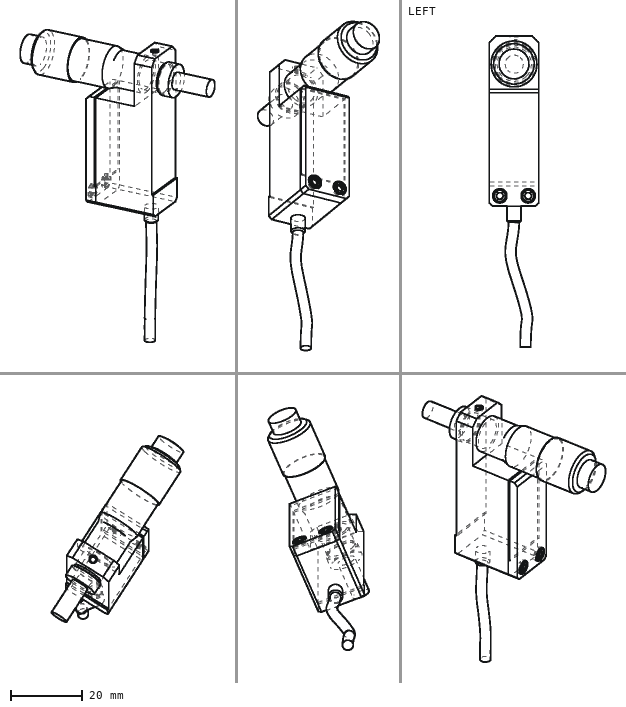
import cadquery as cq
import math


width = 14.0
neck_top = 47.9
shoulder_height = 32.9
neck_front = 15.5
neck_back = 21.1
foot_back = 21.6
foot_height = 6.9
top_chamfer = 1.9
bottom_chamfer = 1.0

plate_thickness = 2.6
spacer_thickness = 0.5
spacer_height = 5.8
plate_chamfer = 1.0
housing_front = plate_thickness + spacer_thickness

screw_spacing = 8.0
screw_height = 2.9
counterbore_radius = 2.0
head_radius = 1.6
screw_gap_depth = 0.9
screw_socket_flats = 1.8
screw_socket_depth = 0.7

clamp_radius = 1.1
clamp_recess_depth = 0.3
clamp_socket_flats = 1.6
clamp_socket_depth = 0.7

axis_height = 40.0
knob_tip = -23.2
knob_dome = 0.6
knob_radius = 4.2
grip_front = -18.7
grip_crown = 0.5
grip_crown_radius = 5.7
grip_radius = 6.5
grip_back = -6.2
thimble_radius = 6.1
thimble_back = 4.7
taper_back = 7.1
sleeve_radius = 5.3
stem_radius = 4.3
collar_front = 21.8
collar_back = 25.1
collar_radius = 4.8
spindle_radius = 2.5
spindle_tip = 36.2

cable_x = 17.2
relief_radius = 2.0
relief_length = 4.6
relief_chamfer = 0.5
cable_radius = 1.53
overall_height = 87.6
cable_bottom = neck_top - overall_height
cable_overlap = 0.9
cable_bends = [
    (16.8, 1.0, -13.0),
    (17.7, -1.2, -21.9),
    (18.7, -3.7, -31.1),
]
cable_end = (18.5, -3.2, cable_bottom)


def chamfer_bottom_sides(body):
    """Chamfer the two lowest edges that run along X."""
    sides = cq.selectors.BoxSelector((-0.9, -width, -0.1), (foot_back + 0.9, width, 0.1))
    return body.edges(sides).edges("|X").chamfer(bottom_chamfer)


def hex_socket(plane, flats, depth):
    """Hexagonal socket cutter with a conical bottom; the plane's normal points into the screw."""
    corners = flats / math.cos(math.radians(30))
    hexagon = cq.Workplane(plane).polygon(6, corners).extrude(depth)
    cone = cq.Solid.makeCone(flats / 2, 0, flats / 2, pnt=plane.origin + plane.zDir * depth, dir=plane.zDir)
    return hexagon.union(cq.Workplane(cone))


def make_housing():
    profile = [
        (housing_front, 0),
        (foot_back, 0),
        (foot_back, foot_height),
        (neck_back, foot_height),
        (neck_back, neck_top),
        (neck_front, neck_top),
        (neck_front, shoulder_height),
        (housing_front, shoulder_height),
    ]
    body = cq.Workplane("XZ").polyline(profile).close().extrude(width / 2, both=True)
    body = body.faces(">Z").edges("|X").chamfer(top_chamfer)
    body = chamfer_bottom_sides(body)

    bore_length = neck_back - neck_front
    bore = cq.Workplane("YZ", origin=(neck_front, 0, axis_height)).circle(stem_radius).extrude(bore_length)
    body = body.cut(bore)

    clamp_x = (neck_front + neck_back) / 2
    recess_floor = neck_top - clamp_recess_depth
    floor_center = (clamp_x, 0, recess_floor)
    recess = cq.Workplane("XY", origin=floor_center).circle(clamp_radius).extrude(clamp_recess_depth)
    socket_plane = cq.Plane(origin=floor_center, xDir=(1, 0, 0), normal=(0, 0, -1))
    return body.cut(recess).cut(hex_socket(socket_plane, clamp_socket_flats, clamp_socket_depth))


def screw_recess(y):
    """Cutter that leaves a socket screw head standing in its counterbore."""
    plane = cq.Plane(origin=(0, y, screw_height), xDir=(0, 1, 0), normal=(1, 0, 0))
    counterbore = cq.Workplane(plane).circle(counterbore_radius).extrude(screw_gap_depth)
    head = cq.Workplane(plane).circle(head_radius).extrude(screw_gap_depth)
    return counterbore.cut(head).union(hex_socket(plane, screw_socket_flats, screw_socket_depth))


def make_cover_plate():
    profile = [
        (0, 0),
        (housing_front, 0),
        (housing_front, spacer_height),
        (plate_thickness, spacer_height),
        (plate_thickness, shoulder_height),
        (plate_chamfer, shoulder_height),
        (0, shoulder_height - plate_chamfer),
    ]
    plate = cq.Workplane("XZ").polyline(profile).close().extrude(width / 2, both=True)
    plate = chamfer_bottom_sides(plate)
    for side in (-1, 1):
        plate = plate.cut(screw_recess(side * screw_spacing / 2))
    return plate


def make_micrometer():
    """Turned body: a half profile of (X, radius) points revolved about the micrometer axis."""
    dome_mid = (knob_tip + knob_dome / 4, knob_radius / 2)
    crown_back = grip_front + grip_crown
    grip_shoulder = crown_back + grip_radius - grip_crown_radius
    half_profile = (
        cq.Workplane("XZ", origin=(0, 0, axis_height))
        .moveTo(knob_tip, 0)
        .threePointArc(dome_mid, (knob_tip + knob_dome, knob_radius))
        .lineTo(grip_front, knob_radius)
        .lineTo(crown_back, grip_crown_radius)
        .lineTo(grip_shoulder, grip_radius)
        .lineTo(grip_back, grip_radius)
        .lineTo(grip_back, thimble_radius)
        .lineTo(thimble_back, thimble_radius)
        .lineTo(taper_back, sleeve_radius)
        .lineTo(neck_front, sleeve_radius)
        .lineTo(neck_front, stem_radius)
        .lineTo(collar_front, stem_radius)
        .lineTo(collar_front, collar_radius)
        .lineTo(collar_back, collar_radius)
        .lineTo(collar_back, spindle_radius)
        .lineTo(spindle_tip, spindle_radius)
        .lineTo(spindle_tip, 0)
        .close()
    )
    return half_profile.revolve(360, (0, 0, 0), (1, 0, 0))


def make_cable():
    relief = cq.Workplane("XY", origin=(cable_x, 0, 0)).circle(relief_radius).extrude(-relief_length)
    relief = relief.faces("<Z").chamfer(relief_chamfer)

    start = (cable_x, 0, cable_overlap - relief_length)
    downward = (0, 0, -1)
    path = cq.Workplane("XY").spline([start, *cable_bends, cable_end], tangents=[downward, downward])
    cord = cq.Workplane("XY", origin=start).circle(cable_radius).sweep(path)
    return relief.union(cord)


housing = make_housing()
cover_plate = make_cover_plate()
micrometer = make_micrometer()
cable = make_cable()

result = cq.Compound.makeCompound([
    housing.solids().val(),
    cover_plate.solids().val(),
    micrometer.solids().val(),
    cable.solids().val(),
])